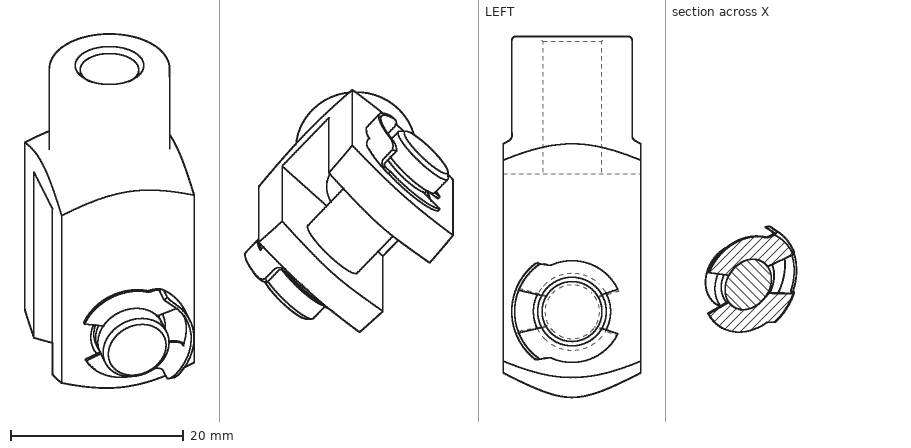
import cadquery as cq
import math

total_height = 42.0
body_width = 16.0
slot_width = 8.0
slot_height = 26.0
neck_radius = 7.0
neck_base_height = 30.07
edge_radius = 0.5
bevel_angle = 30.0
bore_radius = 3.4
bore_mouth_radius = 4.0

pin_length = 24.0
pin_radius = 4.0
pin_height = 10.0
pin_hole_bevel = 0.5
pin_chamfer = 0.5
groove_radius = 3.15
groove_width = 1.0
groove_start = 8.27

sheet = 0.35
plate_radius = 5.92
band_radius = 7.0
band_end = 11.42
outer_bend_radius = 1.0
inner_bend_radius = 0.38
band_corner_radius = 0.85
band_end_y = 4.25
band_end_z = 5.63
band_end_slope = 9.0
mouth_half_height = 0.8
mouth_angle = 18.5
window_half_height = 1.05
window_angle = 13.0
right_clip_turn = 2.0

body_half = body_width / 2
slot_half = slot_width / 2
corner_reach = body_width * math.sqrt(0.5)
cut_margin = 0.4


def rise(run, angle):
    """Height gained over a run at an angle in degrees."""
    return run * math.tan(math.radians(angle))


def make_fork():
    reach = corner_reach + cut_margin
    envelope = (
        cq.Workplane("XZ")
        .moveTo(0, 0)
        .lineTo(slot_half, 0)
        .lineTo(reach, rise(reach - slot_half, bevel_angle))
        .lineTo(reach, neck_base_height - rise(reach - neck_radius, bevel_angle))
        .lineTo(neck_radius, neck_base_height)
        .lineTo(neck_radius, total_height)
        .lineTo(0, total_height)
        .close()
        .revolve(360, (0, 0, 0), (0, 1, 0))
    )
    envelope = envelope.faces(">Z").edges().fillet(edge_radius)
    neck_root = cq.selectors.BoxSelector(
        (-body_width, -body_width, neck_base_height - cut_margin),
        (body_width, body_width, neck_base_height + cut_margin),
    )
    envelope = envelope.edges(neck_root).fillet(edge_radius)
    block = cq.Workplane("XY").box(body_width, body_width, total_height, centered=(True, True, False))
    fork = envelope.intersect(block)

    slot = cq.Workplane("XY").box(slot_width, body_width, slot_height, centered=(True, True, False))
    fork = fork.cut(slot)

    mouth_depth = bore_mouth_radius - bore_radius
    bore = (
        cq.Workplane("XZ")
        .moveTo(0, slot_height)
        .lineTo(bore_radius, slot_height)
        .lineTo(bore_radius, total_height - mouth_depth)
        .lineTo(bore_mouth_radius, total_height)
        .lineTo(0, total_height)
        .close()
        .revolve(360, (0, 0, 0), (0, 1, 0))
    )
    fork = fork.cut(bore)

    hole = (
        cq.Workplane("XY")
        .moveTo(-body_half, 0)
        .lineTo(-body_half, pin_radius + pin_hole_bevel)
        .lineTo(-body_half + pin_hole_bevel, pin_radius)
        .lineTo(body_half - pin_hole_bevel, pin_radius)
        .lineTo(body_half, pin_radius + pin_hole_bevel)
        .lineTo(body_half, 0)
        .close()
        .revolve(360, (0, 0, 0), (1, 0, 0))
        .translate((0, 0, pin_height))
    )
    return fork.cut(hole)


def make_pin():
    pin = (
        cq.Workplane("YZ", origin=(-pin_length / 2, 0, pin_height))
        .circle(pin_radius)
        .extrude(pin_length)
        .faces("<X or >X")
        .chamfer(pin_chamfer)
    )
    for start in (groove_start, -groove_start - groove_width):
        groove = (
            cq.Workplane("YZ", origin=(start, 0, pin_height))
            .circle(pin_radius)
            .circle(groove_radius)
            .extrude(groove_width)
        )
        pin = pin.cut(groove)
    return pin


def make_wedge(half_height, angle, direction, length):
    """Prism along X from the groove start, growing taller away from the pin axis along Y."""
    reach = band_radius + cut_margin
    end_half_height = half_height + rise(reach, angle)
    return (
        cq.Workplane("YZ", origin=(groove_start, 0, 0))
        .polyline([
            (0, -half_height),
            (direction * reach, -end_half_height),
            (direction * reach, end_half_height),
            (0, half_height),
        ])
        .close()
        .extrude(length)
    )


def make_clip(side, turn):
    """Clip for the end of the pin on the given side of X, turned about the pin axis."""
    bend_start = groove_start + outer_bend_radius
    plate_face = groove_start + sheet
    band_inner_radius = band_radius - sheet

    outer_mid = outer_bend_radius * (1 - math.sqrt(0.5))
    inner_mid = inner_bend_radius * (1 - math.sqrt(0.5))
    rim = (
        cq.Workplane("XY")
        .moveTo(groove_start, groove_radius)
        .lineTo(groove_start, band_radius - outer_bend_radius)
        .threePointArc((groove_start + outer_mid, band_radius - outer_mid), (bend_start, band_radius))
        .lineTo(band_end, band_radius)
        .lineTo(band_end, band_inner_radius)
        .lineTo(plate_face + inner_bend_radius, band_inner_radius)
        .threePointArc(
            (plate_face + inner_mid, band_inner_radius - inner_mid),
            (plate_face, band_inner_radius - inner_bend_radius),
        )
        .lineTo(plate_face, groove_radius)
        .close()
        .revolve(360, (0, 0, 0), (1, 0, 0))
    )

    keeper_half_height = band_end_z - rise(band_end_y, band_end_slope)
    keeper = make_wedge(keeper_half_height, band_end_slope, 1, band_end - groove_start)
    rim = rim.intersect(keeper)

    rounding = (
        cq.Workplane("XY")
        .box(band_end, band_radius, 2 * band_end_z, centered=(False, False, True))
        .edges("|Y and >X")
        .fillet(band_corner_radius)
    )
    rim = rim.intersect(rounding)

    plate = (
        cq.Workplane("YZ", origin=(groove_start, 0, 0))
        .circle(plate_radius)
        .circle(groove_radius)
        .extrude(sheet)
    )
    mouth = make_wedge(mouth_half_height, mouth_angle, -1, sheet)
    window = make_wedge(window_half_height, window_angle, 1, outer_bend_radius)
    clip = plate.union(rim).cut(mouth).cut(window)

    if side < 0:
        clip = clip.mirror("YZ")
    return clip.rotate((0, 0, 0), (1, 0, 0), turn).translate((0, 0, pin_height))


fork = make_fork()
pin = make_pin()
clips = [make_clip(side, turn) for side, turn in ((-1, 0), (1, right_clip_turn))]

result = cq.Compound.makeCompound([fork.val(), pin.val(), *[clip.val() for clip in clips]])